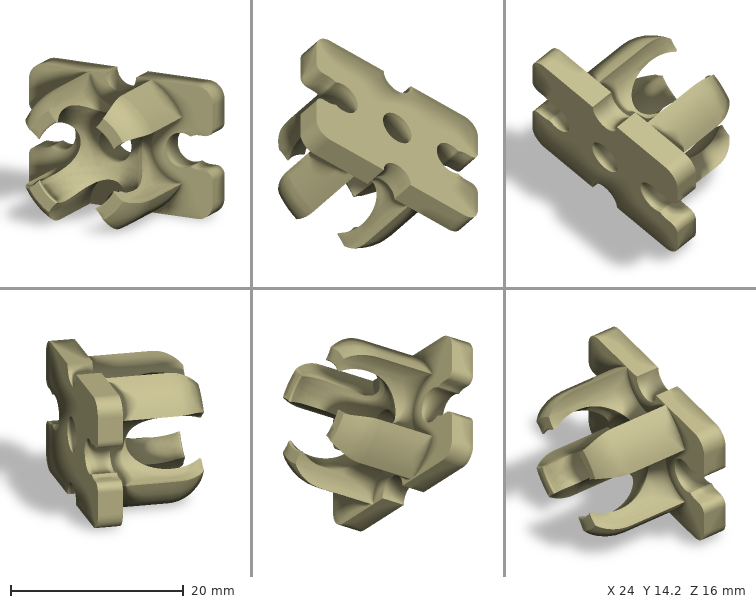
import cadquery as cq
import math

plate_length = 24.0
plate_height = 16.0
plate_thickness = 3.0
corner_radius = 2.0
centre_hole_radius = 2.1

scallop_radius = plate_height / 4
scallop_offset = plate_height / 2

notch_radius = scallop_radius / 2

slot_radius = 2.1
slot_outer_offset = 10.22
slot_throat_half_height = 1.85
slot_mouth_radius = 1.0

total_depth = 14.23
collar_radius = math.hypot(scallop_radius, scallop_offset)
shoulder_depth = plate_thickness + 7.5
tip_length = total_depth - shoulder_depth
tip_rounding_radius = 4.68
socket_radius = 6.48
socket_lip_radius = 0.2


def cylinder_along_y(radius, x, z, start, end):
    """Cylinder about a line parallel to Y, between two depths measured from the back face."""
    origin = cq.Vector(x, -start, z)
    return cq.Workplane(cq.Solid.makeCylinder(radius, end - start, origin, cq.Vector(0, -1, 0)))


def box_through_plate(x_start, x_end, half_height):
    """Box centred on Z = 0 that spans the plate thickness."""
    return (
        cq.Workplane("XY")
        .box(x_end - x_start, plate_thickness, 2 * half_height)
        .translate(((x_start + x_end) / 2, -plate_thickness / 2, 0))
    )


def make_snap_slot():
    """Slot at the +X end: round seat, narrow throat, and wider mouth."""
    seat = cylinder_along_y(slot_radius, scallop_offset, 0, 0, plate_thickness)
    flare = cylinder_along_y(slot_radius, slot_outer_offset, 0, 0, plate_thickness)
    throat = box_through_plate(scallop_offset, slot_outer_offset, slot_throat_half_height)
    mouth = box_through_plate(slot_outer_offset, plate_length / 2, slot_radius)
    return seat.union(flare).union(throat).union(mouth)


def make_plate():
    """Rounded plate with a snap slot at each end and a notch in each long edge."""
    plate = box_through_plate(-plate_length / 2, plate_length / 2, plate_height / 2)
    plate = plate.edges("|Y").fillet(corner_radius)
    slot = make_snap_slot()
    plate = plate.cut(slot).cut(slot.mirror("YZ"))
    slot_surroundings = cq.selectors.BoxSelector(
        (-plate_length, -plate_thickness, -scallop_radius),
        (plate_length, 0, scallop_radius),
    )
    plate = plate.faces("<X or >X").edges("|Y").edges(slot_surroundings).fillet(slot_mouth_radius)
    for side in (-1, 1):
        plate = plate.cut(cylinder_along_y(notch_radius, 0, side * scallop_offset, 0, plate_thickness))
    return plate


def make_collar():
    """Revolved collar profile, hollowed by the ball socket and its rounded lip."""
    rounding_angle = math.asin(tip_length / tip_rounding_radius)
    arc_centre_x = collar_radius - tip_rounding_radius

    def rounding_point(angle):
        x = arc_centre_x + tip_rounding_radius * math.cos(angle)
        y = -shoulder_depth - tip_rounding_radius * math.sin(angle)
        return (x, y)

    collar = (
        cq.Workplane("XY")
        .moveTo(0, -plate_thickness)
        .lineTo(collar_radius, -plate_thickness)
        .lineTo(collar_radius, -shoulder_depth)
        .threePointArc(rounding_point(rounding_angle / 2), rounding_point(rounding_angle))
        .lineTo(0, -total_depth)
        .close()
        .revolve(360, (0, 0, 0), (0, 1, 0))
    )
    socket = cq.Workplane("XY").sphere(socket_radius).translate((0, -shoulder_depth, 0))
    collar = collar.cut(socket)
    inner_tip_edge = cq.selectors.RadiusNthSelector(0)
    return collar.faces("<Y").edges("%CIRCLE").edges(inner_tip_edge).fillet(socket_lip_radius)


def cut_scallops(collar):
    """Split the collar into four fingers with one scallop on each side."""
    for x, z in ((1, 0), (-1, 0), (0, 1), (0, -1)):
        scallop = cylinder_along_y(
            scallop_radius, x * scallop_offset, z * scallop_offset, plate_thickness, total_depth
        )
        collar = collar.cut(scallop)
    return collar


fingers = cut_scallops(make_collar())
centre_hole = cylinder_along_y(centre_hole_radius, 0, 0, 0, shoulder_depth)
result = make_plate().union(fingers).cut(centre_hole)